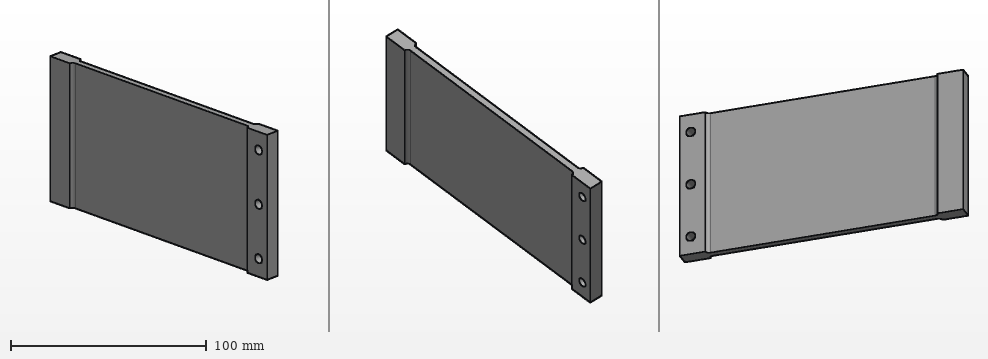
import cadquery as cq
import math

overall_x = 137.4
height = 80.0
tilt_degrees = 30.0
pad_thickness = 8.0
pad_length = 14.0
web_thickness = pad_thickness / 2
hole_diameter = 5.0
hole_end_offset = 6.0
hole_pitch = 30.0
hole_count = 3

tilt = math.radians(tilt_degrees)
plate_length = (overall_x - pad_thickness * math.sin(tilt)) / math.cos(tilt)
web_length = plate_length - 2 * pad_length
step_depth = (pad_thickness - web_thickness) / 2


def face_recess(side):
    """Recess over the web on one face (side = 1 or -1), its ends concave quarter rounds."""
    half_length = web_length / 2
    flat_half = half_length - step_depth
    face_y = side * pad_thickness / 2
    floor_y = side * web_thickness / 2
    arc_inset = step_depth * (1 - math.sqrt(0.5))
    arc_x = half_length - arc_inset
    arc_y = floor_y + side * arc_inset
    return (
        cq.Workplane("XY")
        .moveTo(-half_length, face_y)
        .threePointArc((-arc_x, arc_y), (-flat_half, floor_y))
        .lineTo(flat_half, floor_y)
        .threePointArc((arc_x, arc_y), (half_length, face_y))
        .close()
        .extrude(height / 2, both=True)
    )


def mounting_holes():
    """Column of holes through the thickness of the +X end pad."""
    return (
        cq.Workplane("XZ")
        .center(plate_length / 2 - hole_end_offset, 0)
        .rarray(1.4, hole_pitch, 1, hole_count)
        .circle(hole_diameter / 2)
        .extrude(pad_thickness, both=True)
    )


plate = cq.Workplane("XY").box(plate_length, pad_thickness, height)
for side in (1, -1):
    plate = plate.cut(face_recess(side))
plate = plate.cut(mounting_holes())

result = plate.rotate((0, 0, 0), (0, 0, 1), tilt_degrees)